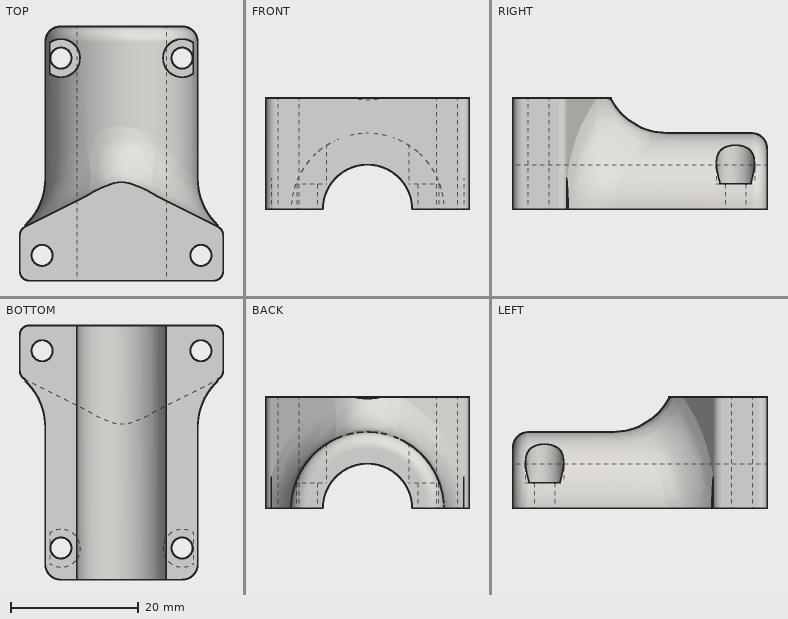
import cadquery as cq
import math

width = 32.0
length = 40.0
height = 17.5
corner_radius = 1.5

barrel_radius = 12.0
barrel_end_fillet = 2.5
bore_radius = 7.0

apex_y = 16.1
wall_slope = 0.5
apex_radius = 5.0

blend_radius = 10.0
blend_margin = 16.0
blend_apex_y = 15.85
blend_apex_radius = 13.2

screw_diameter = 3.3
front_screw_x = 12.5
front_screw_y = 4.0
rear_screw_x = 9.5
rear_screw_y = 35.0
counterbore_diameter = 6.0
counterbore_floor = 4.0


def make_wedge(half_width, front_y, peak_y, peak_radius, top):
    """Block with two sloped rear walls that meet in a rounded vertical edge."""
    side_y = peak_y - wall_slope * half_width
    outline = [
        (-half_width, front_y),
        (half_width, front_y),
        (half_width, side_y),
        (0, peak_y),
        (-half_width, side_y),
    ]
    wedge = cq.Workplane("XY").polyline(outline).close().extrude(top)
    return wedge.edges("|Z").edges(">Y").fillet(peak_radius)


def make_block():
    """Visible block with all four side corners rounded."""
    block = make_wedge(width / 2, 0, apex_y, apex_radius, height)
    return block.edges("|Z").edges("<X or >X").fillet(corner_radius)


def make_barrel():
    """Half cylinder with a rounded rear rim."""
    cylinder = cq.Workplane("XZ").circle(barrel_radius).extrude(-length)
    cylinder = cylinder.faces(">Y").edges().fillet(barrel_end_fillet)
    upper_half = cq.Workplane("XY").box(width, length, height, centered=(True, False, False))
    return cylinder.intersect(upper_half)


def make_blended_barrel():
    """Barrel flaring into the block, trimmed where the rounded corners of the block begin."""
    half_width = width / 2 + blend_margin
    front_y = -2 * blend_margin
    flared = make_wedge(half_width, front_y, blend_apex_y, blend_apex_radius, height + blend_margin)
    flared = flared.union(make_barrel())
    seam_zone = cq.selectors.BoxSelector(
        (-barrel_radius - 0.4, 0, 0.4),
        (barrel_radius + 0.4, apex_y, barrel_radius + 0.4),
    )
    flared = flared.edges(seam_zone).fillet(blend_radius)
    wall_angle = math.atan(wall_slope)
    trim_half_width = width / 2 - corner_radius * (1 - math.sin(wall_angle))
    start_y = apex_y - wall_slope * width / 2
    envelope = cq.Workplane("XY", origin=(0, start_y, 0)).box(
        2 * trim_half_width, length - start_y, height, centered=(True, False, False)
    )
    return flared.intersect(envelope)


def vertical_cylinders(diameter, x, y, floor):
    """Mirrored pair of vertical cutters rising from the given floor."""
    return (
        cq.Workplane("XY", origin=(0, 0, floor))
        .pushPoints([(-x, y), (x, y)])
        .circle(diameter / 2)
        .extrude(height)
    )


result = make_block().union(make_blended_barrel())
result = result.cut(cq.Workplane("XZ").circle(bore_radius).extrude(-length))
result = result.cut(vertical_cylinders(screw_diameter, front_screw_x, front_screw_y, 0))
result = result.cut(vertical_cylinders(screw_diameter, rear_screw_x, rear_screw_y, 0))
result = result.cut(vertical_cylinders(counterbore_diameter, rear_screw_x, rear_screw_y, counterbore_floor))